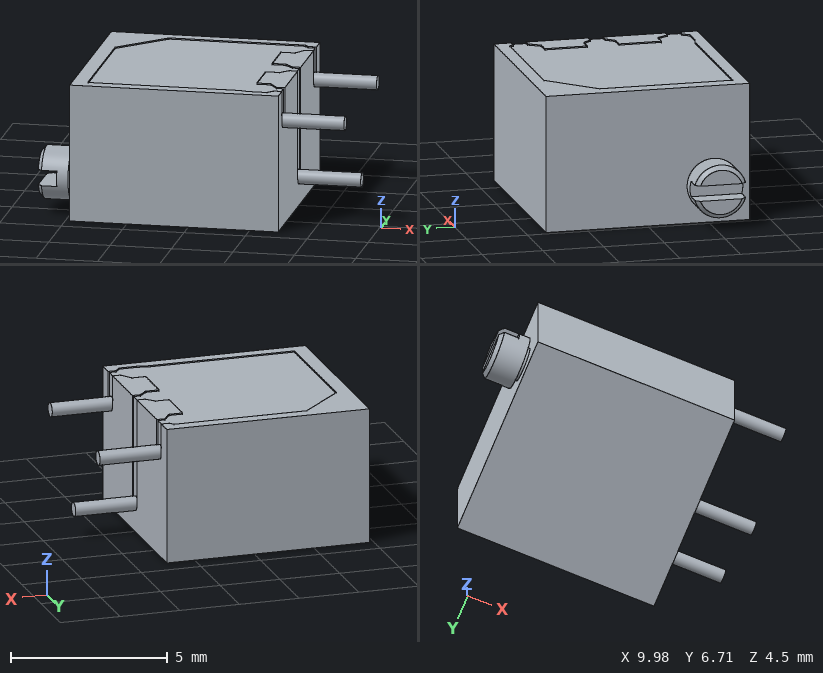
import cadquery as cq


housing_length = 6.8
housing_width = 6.71
housing_height = 4.5
screw_wall = 0.51
side_wall = 0.43
floor_thickness = 0.45
screw_face_x = -housing_length
cavity_corner_chamfer = 1.46

flare_depth = 0.07
flare_start_x = -1.35
flare_end_x = -1.07
flare_corner_x = -0.44
far_corner_x = -0.38

tab_center_y = 1.22
tab_width = 1.4
tab_front_x = -0.99
tab_shoulder_x = -0.53

pin_diameter = 0.47
pin_radius = pin_diameter / 2
pin_pitch = 2.54
pin_reach = 2.05
near_pin_shortfall = 0.03
outer_pin_z = housing_height - 1.01
middle_pin_z = outer_pin_z - pin_pitch
slot_inner_x = -0.27

potting_setback = 0.04

screw_y = -housing_width / 2 + 1.225
screw_z = 1.265
neck_diameter = 1.12
neck_gap = 0.12
head_diameter = 1.74
head_length = 1.01
head_chamfer = 0.14
driver_slot_width = 0.5
driver_slot_depth = 0.64

pins = [
    (-pin_pitch, outer_pin_z, pin_reach - near_pin_shortfall),
    (0, middle_pin_z, pin_reach),
    (pin_pitch, outer_pin_z, pin_reach),
]


def rod(x_start, x_end, y, z, diameter):
    """Cylinder along X."""
    return (
        cq.Workplane("YZ", origin=(x_start, y, z))
        .circle(diameter / 2)
        .extrude(x_end - x_start)
    )


def cavity_block(top_z):
    """Main cavity shape, from the housing floor up to top_z."""
    screw_end_x = screw_face_x + screw_wall
    wall_y = housing_width / 2 - side_wall
    flare_y = -wall_y - flare_depth

    outline = [
        (screw_end_x + cavity_corner_chamfer, wall_y),
        (screw_end_x, wall_y - cavity_corner_chamfer),
        (screw_end_x, -wall_y),
        (flare_start_x, -wall_y),
        (flare_end_x, flare_y),
        (flare_corner_x, flare_y),
        (slot_inner_x, -pin_pitch - pin_radius),
    ]
    for side in (-1, 1):
        tab_y = side * tab_center_y
        pin_below_y = min(0, side * pin_pitch)
        pin_above_y = max(0, side * pin_pitch)
        outline += [
            (slot_inner_x, pin_below_y + pin_radius),
            (tab_shoulder_x, tab_y - tab_width / 2),
            (tab_front_x, tab_y - tab_width / 2),
            (tab_front_x, tab_y + tab_width / 2),
            (tab_shoulder_x, tab_y + tab_width / 2),
            (slot_inner_x, pin_above_y - pin_radius),
        ]
    outline += [
        (slot_inner_x, pin_pitch + pin_radius),
        (far_corner_x, wall_y),
    ]
    return (
        cq.Workplane("XY", origin=(0, 0, floor_thickness))
        .polyline(outline)
        .close()
        .extrude(top_z - floor_thickness)
    )


def pin_slot(y, z, end_x, top_z):
    """Round-bottomed slot through the lead wall, from the pin up to top_z."""
    start_x = tab_shoulder_x
    bottom = rod(start_x, end_x, y, z, pin_diameter)
    shaft = cq.Workplane("XY").box(
        end_x - start_x, pin_diameter, top_z - z, centered=(False, True, False)
    )
    return bottom.union(shaft.translate((start_x, y, z)))


def potting_space(end_x, top_z):
    """Cavity together with the pin slots, ending at end_x and top_z."""
    space = cavity_block(top_z)
    for y, z, _ in pins:
        space = space.union(pin_slot(y, z, end_x, top_z))
    return space


def make_housing():
    block = cq.Workplane("XY").box(
        housing_length, housing_width, housing_height, centered=(False, True, False)
    )
    block = block.translate((screw_face_x, 0, 0))
    screw_hole = rod(screw_face_x, screw_face_x + screw_wall, screw_y, screw_z, neck_diameter)
    return block.cut(potting_space(0, housing_height)).cut(screw_hole)


def make_potting_with_pins():
    potting = potting_space(-potting_setback, housing_height - potting_setback)
    for y, z, reach in pins:
        potting = potting.union(rod(tab_shoulder_x, reach, y, z, pin_diameter))
    return potting


def make_screw():
    head_back_x = screw_face_x - neck_gap
    head_front_x = head_back_x - head_length
    head = rod(head_front_x, head_back_x, screw_y, screw_z, head_diameter)
    head = head.faces("<X").chamfer(head_chamfer)
    driver_slot = cq.Workplane("XY").box(
        driver_slot_depth, head_diameter, driver_slot_width, centered=(False, True, True)
    )
    head = head.cut(driver_slot.translate((head_front_x, screw_y, screw_z)))
    neck = rod(head_back_x, screw_face_x + screw_wall, screw_y, screw_z, neck_diameter)
    return head.union(neck)


housing = make_housing().solids()
potting_with_pins = make_potting_with_pins().solids()
screw = make_screw().solids()

result = cq.Compound.makeCompound([housing.val(), potting_with_pins.val(), screw.val()])